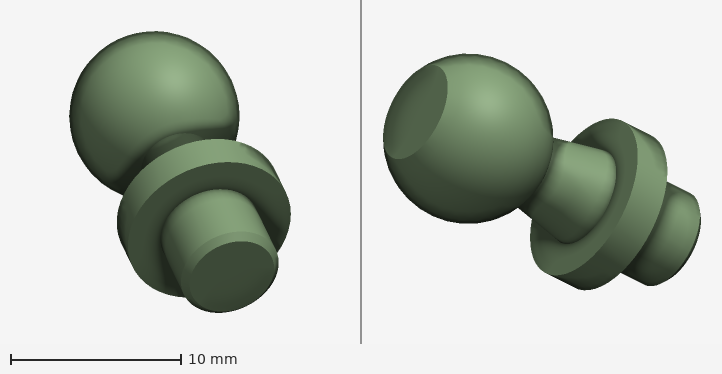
import cadquery as cq
import math

total_length = 19.5
ball_diameter = 10.0
flange_diameter = ball_diameter
shank_diameter = 6.0
ball_flat_diameter = shank_diameter
neck_large_diameter = shank_diameter
neck_small_diameter = 4.37
flange_thickness = 2.25
shank_length = 4.5
shank_chamfer = 0.4

ball_radius = ball_diameter / 2
flat_radius = ball_flat_diameter / 2
neck_small_radius = neck_small_diameter / 2
neck_large_radius = neck_large_diameter / 2
flange_radius = flange_diameter / 2
shank_radius = shank_diameter / 2

ball_center_x = math.sqrt(ball_radius**2 - flat_radius**2)
neck_start_x = ball_center_x + math.sqrt(ball_radius**2 - neck_small_radius**2)
flange_end_x = total_length - shank_length
flange_start_x = flange_end_x - flange_thickness

half_profile = (
    cq.Workplane("XY")
    .lineTo(0, flat_radius)
    .threePointArc((ball_center_x, ball_radius), (neck_start_x, neck_small_radius))
    .lineTo(flange_start_x, neck_large_radius)
    .lineTo(flange_start_x, flange_radius)
    .lineTo(flange_end_x, flange_radius)
    .lineTo(flange_end_x, shank_radius)
    .lineTo(total_length - shank_chamfer, shank_radius)
    .lineTo(total_length, shank_radius - shank_chamfer)
    .lineTo(total_length, 0)
    .close()
)

result = half_profile.revolve(360, (0, 0, 0), (1, 0, 0))